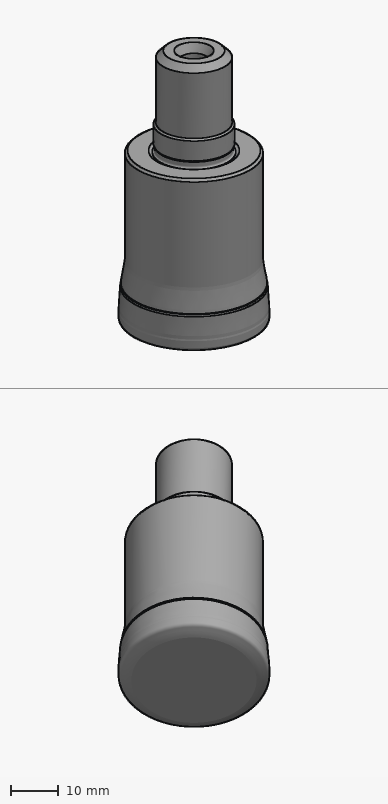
import cadquery as cq

total_height = 63.0
housing_top = 39.95
mouth_depth = 0.3
seat_top = housing_top - mouth_depth

rod_radius = 16.0 / 2
rod_chamfer_radial = 1.6
rod_chamfer_height = 1.5
collar_radius = 17.0 / 2
collar_top = 46.4
collar_bottom = 41.1
collar_chamfer_height = 0.4
neck_radius = 16.5 / 2
neck_fillet = 0.5
seat_radius = neck_radius + neck_fillet
socket_depth = 5.05

countersink_radius = 4.15
hole_radius = 6.0 / 2
countersink_depth = 2.0
hole_depth = 7.55
hole_tip_height = 1.7

body_radius = 29.0 / 2
top_chamfer = 0.55
mouth_radius = 9.5
flare_blend_top = 15.05
flare_blend_bottom = 14.3
flare_blend_radius = 14.55
flare_bottom = 10.15
flare_radius = 15.25
groove_radius = 30.55 / 2
groove_top = 9.3
groove_bottom = 9.15
groove_lip_radius = 15.4
skirt_top = 8.75
skirt_top_radius = 15.5
skirt_bottom = 4.4
base_radius = 31.7 / 2
skirt_inset = 0.05
bead_middle = 3.65
bead_bottom = 3.3
base_edge_top = 1.7
base_round_mid_radius = 15.7
base_round_mid_height = 1.25
base_cone_top_radius = 15.3
base_cone_top = 0.95
base_cone_bottom_radius = 14.55
base_cone_bottom = 0.55
base_crown_mid_radius = 13.85
base_crown_mid_height = 0.25
base_face_radius = 13.1


def revolve_profile(profile):
    """Revolve a closed (radius, height) profile about Z."""
    return profile.close().revolve(360, (0, 0, 0), (0, 1, 0))


def make_rod():
    hole_bottom = total_height - hole_depth
    profile = (
        cq.Workplane("XZ")
        .moveTo(0, housing_top - socket_depth)
        .lineTo(seat_radius, housing_top - socket_depth)
        .lineTo(seat_radius, seat_top)
        .radiusArc((neck_radius, seat_top + neck_fillet), neck_fillet)
        .lineTo(neck_radius, collar_bottom)
        .lineTo(collar_radius, collar_bottom + collar_chamfer_height)
        .lineTo(collar_radius, collar_top - collar_chamfer_height)
        .lineTo(rod_radius, collar_top)
        .lineTo(rod_radius, total_height - rod_chamfer_height)
        .lineTo(rod_radius - rod_chamfer_radial, total_height)
        .lineTo(countersink_radius, total_height)
        .lineTo(hole_radius, total_height - countersink_depth)
        .lineTo(hole_radius, hole_bottom)
        .lineTo(0, hole_bottom - hole_tip_height)
    )
    return revolve_profile(profile)


def make_housing():
    profile = (
        cq.Workplane("XZ")
        .moveTo(0, 0)
        .lineTo(base_face_radius, 0)
        .threePointArc(
            (base_crown_mid_radius, base_crown_mid_height),
            (base_cone_bottom_radius, base_cone_bottom),
        )
        .lineTo(base_cone_top_radius, base_cone_top)
        .threePointArc(
            (base_round_mid_radius, base_round_mid_height),
            (base_radius, base_edge_top),
        )
        .lineTo(base_radius, bead_bottom)
        .lineTo(base_radius - skirt_inset, bead_middle)
        .lineTo(base_radius - skirt_inset, skirt_bottom)
        .lineTo(skirt_top_radius, skirt_top)
        .lineTo(groove_radius, groove_bottom)
        .lineTo(groove_radius, groove_top)
        .lineTo(groove_lip_radius, groove_top)
        .lineTo(flare_radius, flare_bottom)
        .lineTo(flare_blend_radius, flare_blend_bottom)
        .lineTo(body_radius, flare_blend_top)
        .lineTo(body_radius, housing_top - top_chamfer)
        .lineTo(body_radius - top_chamfer, housing_top)
        .lineTo(mouth_radius, housing_top)
        .lineTo(seat_radius, seat_top)
        .lineTo(seat_radius, housing_top - socket_depth)
        .lineTo(0, housing_top - socket_depth)
    )
    return revolve_profile(profile)


rod = make_rod()
housing = make_housing()
result = cq.Compound.makeCompound([rod.val(), housing.val()])